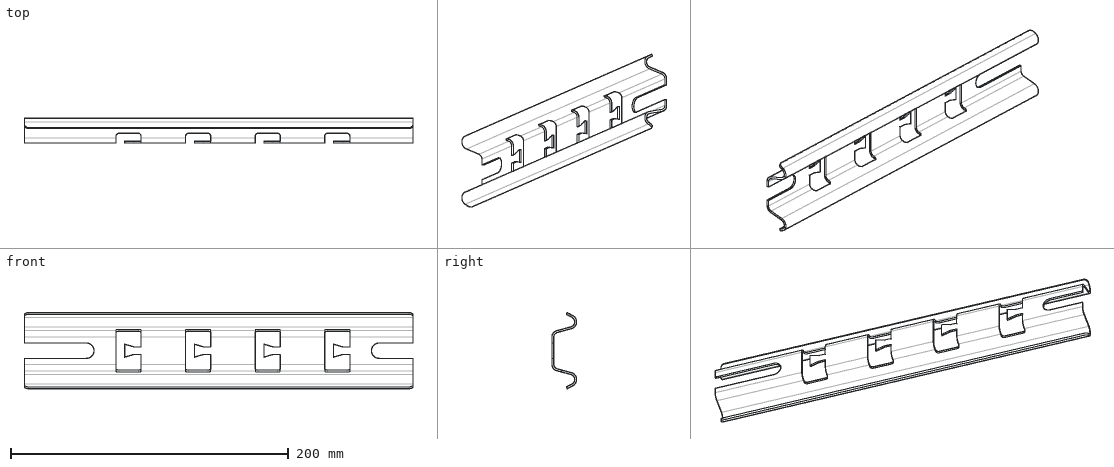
import cadquery as cq
import math

length = 280.0
depth = 18.0
height = 55.0
thickness = 1.5

web_flat_half = 9.8
web_bend_radius = 3.5
crest_bend_radius = 3.5
flank_slope = math.radians(15)
lip_slope = math.radians(28)
lip_corner_radius = 3.0

end_slot_width = 11.0
left_slot_length = 50.0
right_slot_length = 30.0

window_count = 4
window_pitch = 50.0
window_width = 18.0
first_window_start = 66.0
window_depth = 7.0
window_corner_radius = 2.0
tongue_length = 11.8
tongue_taper_length = 6.7
tongue_tip_width = 9.5
tongue_neck_width = 5.5

web_bend_mid = web_bend_radius + thickness / 2
crest_bend_mid = crest_bend_radius + thickness / 2

flank_flat = (
    depth - thickness - (web_bend_mid + crest_bend_mid) * (1 - math.sin(flank_slope))
) / math.cos(flank_slope)

lip_flat = (
    height / 2
    - web_flat_half
    - (web_bend_mid + crest_bend_mid) * math.cos(flank_slope)
    - flank_flat * math.sin(flank_slope)
    - (crest_bend_mid + thickness / 2) * math.cos(lip_slope)
) / math.sin(lip_slope)


def half_section():
    """Upper half of the bent strip in the YZ plane, from mid-height to the lip tip."""
    flank_turn = math.pi / 2 - flank_slope
    crest_turn = math.pi - flank_slope - lip_slope
    steps = [
        (web_flat_half, web_bend_mid, -flank_turn),
        (flank_flat, crest_bend_mid, crest_turn),
    ]

    def trace(offset):
        """Straight ends and arc middles of the line offset from the middle line."""
        y = thickness / 2
        z = 0.0
        heading = math.pi / 2

        def shifted(centre_y, centre_z, radius, angle):
            return (centre_y + radius * math.cos(angle), centre_z + radius * math.sin(angle))

        def side_point():
            return shifted(y, z, offset, heading + math.pi / 2)

        points = [side_point()]
        for straight, radius, turn in steps:
            y, z = shifted(y, z, straight, heading)
            points.append(side_point())
            side = math.copysign(1, turn)
            to_centre = heading + side * math.pi / 2
            centre = shifted(y, z, radius, to_centre)
            side_radius = radius - side * offset
            points.append(shifted(*centre, side_radius, to_centre + math.pi + turn / 2))
            y, z = shifted(*centre, radius, to_centre + math.pi + turn)
            heading += turn
            points.append(side_point())
        y, z = shifted(y, z, lip_flat, heading)
        points.append(side_point())
        return points

    left = trace(thickness / 2)
    right = trace(-thickness / 2)
    right.reverse()

    def draw(sketch, points):
        """Draw a straight, then an arc and a straight for each bend."""
        sketch = sketch.lineTo(*points[1])
        for index in range(2, len(points) - 1, 3):
            sketch = sketch.threePointArc(points[index], points[index + 1])
            sketch = sketch.lineTo(*points[index + 2])
        return sketch

    outline = cq.Workplane("YZ").moveTo(*left[0])
    outline = draw(outline, left).lineTo(*right[0])
    return draw(outline, right).close()


def lip_corner_edges(solid):
    """Edges through the sheet at both ends of the lip tip."""
    through_sheet = cq.Vector(0, math.sin(lip_slope), math.cos(lip_slope))
    tip_zone = cq.selectors.BoxSelector(
        (-thickness, 0, height / 2 - thickness),
        (length + thickness, depth, height / 2),
    )
    return solid.edges(cq.selectors.ParallelDirSelector(through_sheet)).edges(tip_zone)


def rail():
    """Both mirrored halves of the rail, before the web is cut."""
    upper = half_section().extrude(length)
    upper = lip_corner_edges(upper).fillet(lip_corner_radius)
    return upper.union(upper.mirror("XY"))


def end_slot(open_end, round_tip):
    """Slot along X from an open end of the rail to a full-round tip."""
    radius = end_slot_width / 2
    round_start = round_tip - math.copysign(radius, round_tip - open_end)
    return (
        cq.Workplane("XZ")
        .moveTo(open_end, radius)
        .lineTo(round_start, radius)
        .threePointArc((round_tip, 0), (round_start, -radius))
        .lineTo(open_end, -radius)
        .close()
        .extrude(-thickness)
    )


def window(start):
    """Window with rounded flank corners, leaving a flared tongue in the web."""
    opening = (
        cq.Workplane("XY")
        .box(window_width, window_depth, height, centered=(False, False, True))
        .edges("|Z and >Y")
        .fillet(window_corner_radius)
    )
    tip = window_width - tongue_length
    taper_end = tip + tongue_taper_length
    tongue = (
        cq.Workplane("XZ")
        .polyline(
            [
                (tip, -tongue_tip_width / 2),
                (taper_end, -tongue_neck_width / 2),
                (window_width, -tongue_neck_width / 2),
                (window_width, tongue_neck_width / 2),
                (taper_end, tongue_neck_width / 2),
                (tip, tongue_tip_width / 2),
            ]
        )
        .close()
        .extrude(-thickness)
    )
    return opening.cut(tongue).translate((start, 0, 0))


result = rail()
result = result.cut(end_slot(0, left_slot_length))
result = result.cut(end_slot(length, length - right_slot_length))
for number in range(window_count):
    result = result.cut(window(first_window_start + number * window_pitch))